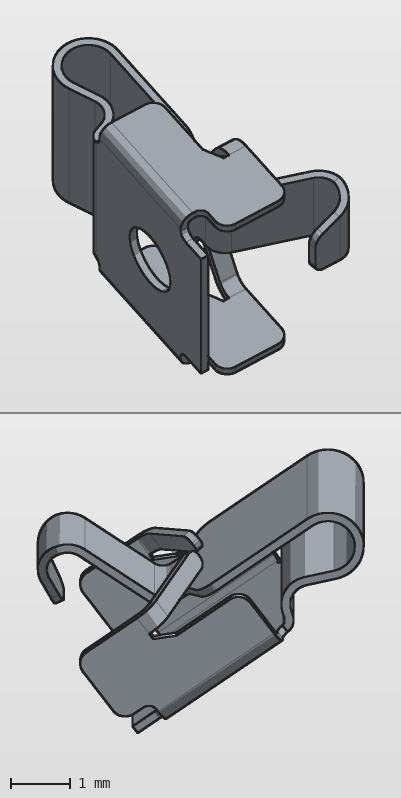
import cadquery as cq
import math


thickness = 0.15
half_sheet = thickness / 2
overall_height = 3.9
half_height = overall_height / 2

plate_left_x = 2.05
plate_right_x = 5.155
band_height = 3.0
half_band = band_height / 2
wing_left_x = 2.15
wing_right_x = 4.555
wing_relief_radius = 0.15
hole_x = 3.645
hole_diameter = 1.2

fold_outer_radius = 0.25
wall_top_y = 1.82
wall_step_y = 1.175
wall_ramp_start_x = 3.5
wall_ramp_end_y = 1.35
wall_tail_y = 0.455
wall_front_radius = 0.25
wall_tail_radius = 0.25
wall_relief_radius = 0.15

hook_x = 3.855
hook_width = 0.35
hook_outer_radius = 0.45
hook_bend_angle = 60.0
hook_straight_length = 1.535
hook_tip_radius = 0.15

foot_radius = fold_outer_radius - half_sheet
foot_center = (plate_left_x, half_sheet + foot_radius)
crest_radius = 0.425
crest_center = (1.44, 0.17)
loop_outer_radius = 0.6
loop_radius = loop_outer_radius - half_sheet
loop_center = (loop_outer_radius, 0.85)
run_y = loop_center[1] + loop_radius

tongue_height = 1.5
half_tongue = tongue_height / 2
run_start_x = 2.33
shoulder_outer_x = 2.81
shoulder_angle = 65.0
shoulder_outer_radius = 0.35
shoulder_inner_radius = 0.15
run_end_x = 3.265

lift_radius = 0.325
lift_center = (3.405, run_y + lift_radius)
curl_outer_radius = 0.5
curl_radius = curl_outer_radius - half_sheet
curl_center = (4.585, 2.795)
curl_taper_start_angle = 101.0
curl_end_angle = 10.0
taper_angle = 15.0
tip_length = 0.58
tip_corner_radius = 0.25


def polar(center, radius, degrees):
    """Point at a radius and angle around a centre."""
    angle = math.radians(degrees)
    return (center[0] + radius * math.cos(angle), center[1] + radius * math.sin(angle))


def rounded_outline(plane, corners):
    """Closed outline from (x, y, corner radius) entries; a radius of 0 leaves the corner sharp."""
    stretches = []
    for index, (x, y, radius) in enumerate(corners):
        corner = cq.Vector(x, y)
        previous = cq.Vector(*corners[index - 1][:2])
        following = cq.Vector(*corners[(index + 1) % len(corners)][:2])
        if radius == 0:
            stretches.append([corner])
            continue
        back = (previous - corner).normalized()
        ahead = (following - corner).normalized()
        half_angle = back.getAngle(ahead) / 2
        setback = radius / math.tan(half_angle)
        bisector = (back + ahead).normalized()
        middle = corner + bisector * (radius / math.sin(half_angle) - radius)
        stretches.append([corner + back * setback, middle, corner + ahead * setback])

    outline = cq.Workplane(plane).moveTo(*stretches[0][-1].toTuple()[:2])
    for stretch in stretches[1:] + stretches[:1]:
        outline = outline.lineTo(*stretch[0].toTuple()[:2])
        if len(stretch) > 1:
            outline = outline.threePointArc(stretch[1].toTuple()[:2], stretch[2].toTuple()[:2])
    return outline.close()


def ring_sector(plane, center, outer_radius, start_angle, end_angle):
    """Outline of a bend: one sheet thickness of ring between two angles."""
    inner_radius = outer_radius - thickness
    middle_angle = (start_angle + end_angle) / 2
    return (
        cq.Workplane(plane)
        .moveTo(*polar(center, outer_radius, start_angle))
        .threePointArc(polar(center, outer_radius, middle_angle), polar(center, outer_radius, end_angle))
        .lineTo(*polar(center, inner_radius, end_angle))
        .threePointArc(polar(center, inner_radius, middle_angle), polar(center, inner_radius, start_angle))
        .close()
    )


def tangent_heading(first, second):
    """Heading in degrees of the straight sheet between two bends (centre, radius, turn); left turn is +1."""
    (x1, y1), radius1, turn1 = first
    (x2, y2), radius2, turn2 = second
    distance = math.hypot(x2 - x1, y2 - y1)
    swing = math.asin((turn1 * radius1 - turn2 * radius2) / distance)
    return math.degrees(math.atan2(y2 - y1, x2 - x1) + swing)


def bent_strip(start, bends, end, height):
    """Sheet strip running from start, tangent to each bend in turn, to the end point."""
    stops = [(start, 0, 1)] + bends + [(end, 0, 1)]
    headings = [tangent_heading(a, b) for a, b in zip(stops, stops[1:])]

    def side(offset):
        """Start point, (tangent, middle, tangent) points of each bend and end point of one face."""
        first = polar(start, offset, headings[0] + 90)
        arcs = []
        for (center, radius, turn), heading, next_heading in zip(bends, headings, headings[1:]):
            sweep = turn * ((turn * (next_heading - heading)) % 360)
            face_radius = radius - turn * offset
            entry_angle = heading - turn * 90
            arcs.append([polar(center, face_radius, entry_angle + sweep * part) for part in (0, 0.5, 1)])
        return first, arcs, polar(end, offset, headings[-1] + 90)

    left_start, left_arcs, left_end = side(half_sheet)
    right_start, right_arcs, right_end = side(-half_sheet)
    outline = cq.Workplane("XY").moveTo(*left_start)
    for entry, middle, leave in left_arcs:
        outline = outline.lineTo(*entry).threePointArc(middle, leave)
    outline = outline.lineTo(*left_end).lineTo(*right_end)
    for entry, middle, leave in reversed(right_arcs):
        outline = outline.lineTo(*leave).threePointArc(middle, entry)
    return outline.lineTo(*right_start).close().extrude(height / 2, both=True)


def mirrored_corners(upper_corners):
    """Complete a left-to-right upper outline with its mirror image about the first axis."""
    return upper_corners + [(x, -y, radius) for x, y, radius in reversed(upper_corners)]


def base_plate():
    wing_edge = half_height - fold_outer_radius
    corners = mirrored_corners([
        (plate_left_x - wing_relief_radius, half_band, 0),
        (wing_left_x, half_band, wing_relief_radius),
        (wing_left_x, wing_edge, 0),
        (wing_right_x, wing_edge, 0),
        (wing_right_x, half_band, wing_relief_radius),
        (plate_right_x, half_band, 0),
    ])
    plate = rounded_outline("XZ", corners).extrude(-thickness)
    hole = cq.Workplane("XZ").center(hole_x, 0).circle(hole_diameter / 2).extrude(-thickness)
    foot_trim = (
        cq.Workplane("XZ")
        .center(plate_left_x - wing_relief_radius / 2, 0)
        .rect(wing_relief_radius, overall_height)
        .extrude(-thickness)
    )
    return plate.cut(hole).cut(foot_trim)


def side_wall():
    """Upper side wall with the fold that joins it to the base plate."""
    fold_center = (fold_outer_radius, half_height - fold_outer_radius)
    fold = (
        ring_sector("YZ", fold_center, fold_outer_radius, 90, 180)
        .extrude(wing_right_x - wing_left_x)
        .translate((wing_left_x, 0, 0))
    )
    wall = rounded_outline("XY", [
        (wing_left_x, fold_outer_radius, 0),
        (wing_left_x, wall_step_y, wall_front_radius),
        (wall_ramp_start_x, wall_step_y, 0),
        (hook_x, wall_ramp_end_y, 0),
        (hook_x, wall_top_y, 0),
        (plate_right_x, wall_top_y, wall_tail_radius),
        (plate_right_x, wall_tail_y, wall_tail_radius),
        (wing_right_x, wall_tail_y, wall_relief_radius),
        (wing_right_x, fold_outer_radius, 0),
    ]).extrude(-thickness).translate((0, 0, half_height))
    return fold.union(wall)


def hook():
    """Upper hook: a bend off the side wall and a round-cornered straight arm."""
    bottom_y = wall_top_y - hook_width
    bend_center = (hook_x, half_height - hook_outer_radius)
    bend_end_angle = 90 + hook_bend_angle
    bend = (
        ring_sector("XZ", bend_center, hook_outer_radius, 90, bend_end_angle)
        .extrude(-hook_width)
        .translate((0, bottom_y, 0))
    )
    arm_x, arm_z = polar(bend_center, hook_outer_radius, bend_end_angle)
    arm_direction = polar((0, 0), 1, 180 + hook_bend_angle)
    arm_plane = cq.Plane(
        origin=(arm_x, bottom_y, arm_z),
        xDir=(arm_direction[0], 0, arm_direction[1]),
        normal=(-arm_direction[1], 0, arm_direction[0]),
    )
    arm = rounded_outline(arm_plane, [
        (0, 0, 0),
        (hook_straight_length, 0, hook_tip_radius),
        (hook_straight_length, hook_width, hook_tip_radius),
        (0, hook_width, 0),
    ]).extrude(thickness)
    return bend.union(arm)


def spring_loop():
    """Full-height band from the base plate, over the crest and around the loop to the run."""
    bends = [(foot_center, foot_radius, -1), (crest_center, crest_radius, 1), (loop_center, loop_radius, -1)]
    return bent_strip((wing_left_x, half_sheet), bends, (run_start_x, run_y), band_height)


def shoulder_run():
    """Straight run where the band narrows to the height of the tongue."""
    shoulder_inner_x = shoulder_outer_x + (half_band - half_tongue) / math.tan(math.radians(shoulder_angle))
    corners = mirrored_corners([
        (run_start_x, half_band, 0),
        (shoulder_outer_x, half_band, shoulder_outer_radius),
        (shoulder_inner_x, half_tongue, shoulder_inner_radius),
        (run_end_x, half_tongue, 0),
    ])
    return rounded_outline("XZ", corners).extrude(-thickness).translate((0, run_y - half_sheet, 0))


def tongue():
    """Lifted tongue with a curl that tapers along its length to a round-cornered tip."""
    lift_bend = (lift_center, lift_radius, 1)
    curl_bend = (curl_center, curl_radius, -1)
    curl_start_angle = tangent_heading(lift_bend, curl_bend) + 90
    curl_start = polar(curl_center, curl_radius, curl_start_angle)
    lift = bent_strip((run_end_x, run_y), [lift_bend], curl_start, tongue_height)
    curl = ring_sector("XY", curl_center, curl_outer_radius, curl_start_angle, curl_taper_start_angle)
    curl = curl.extrude(half_tongue, both=True)

    taper_slope = math.tan(math.radians(taper_angle))
    taper_sweep = curl_taper_start_angle - curl_end_angle
    taper_drop = curl_radius * math.radians(taper_sweep) * taper_slope
    half_tip_root = half_tongue - taper_drop
    wedge_radius = 2 * curl_outer_radius
    wedge = cq.Workplane("XY").polyline([
        (0, 0),
        polar((0, 0), wedge_radius, curl_end_angle),
        polar((0, 0), wedge_radius, curl_end_angle + taper_sweep / 2),
        polar((0, 0), wedge_radius, curl_taper_start_angle),
    ]).close().twistExtrude(taper_drop, taper_sweep)
    sector = ring_sector("XY", (0, 0), curl_outer_radius, curl_end_angle, curl_taper_start_angle)
    upper_end = sector.extrude(taper_drop).intersect(wedge).translate((*curl_center, half_tip_root))
    middle = ring_sector("XY", curl_center, curl_outer_radius, curl_end_angle, curl_taper_start_angle)
    middle = middle.extrude(half_tip_root, both=True)
    tapered_curl = middle.union(upper_end).union(upper_end.mirror("XY"))

    tip_x, tip_y = polar(curl_center, curl_outer_radius, curl_end_angle)
    outward = polar((0, 0), 1, curl_end_angle)
    tip_plane = cq.Plane(
        origin=(tip_x, tip_y, 0),
        xDir=(outward[1], -outward[0], 0),
        normal=(outward[0], outward[1], 0),
    )
    half_tip_end = half_tip_root - tip_length * taper_slope
    tip_corners = mirrored_corners([
        (0, half_tip_root, 0),
        (tip_length, half_tip_end, tip_corner_radius),
    ])
    tip = rounded_outline(tip_plane, tip_corners).extrude(-thickness)
    return lift.union(curl).union(tapered_curl).union(tip)


result = base_plate().union(spring_loop()).union(shoulder_run()).union(tongue())
for upper_part in (side_wall(), hook()):
    result = result.union(upper_part).union(upper_part.mirror("XY"))